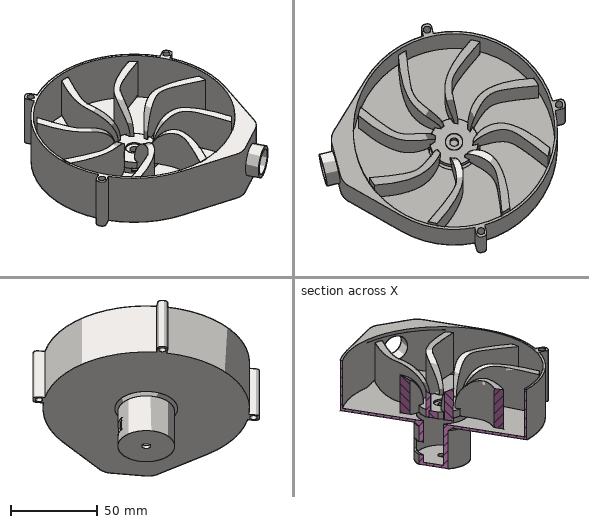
import cadquery as cq
import math


casing_radius = 60.0
casing_height = 32.0
opening_diameter = 117.0
floor_thickness = 2.0
top_plate_thickness = 2.0
corner_bevel_leg = 20.0
corner_wall = 5.0
bevel_wall = 2.0
outer_corner_radius = 10.0
inner_corner_radius = 4.0

outlet_angle = 45.0
outlet_outer_diameter = 19.0
outlet_bore_diameter = 15.0
outlet_axis_height = 16.5
outlet_reach = 78.4

lug_angles = (135.0, 225.0, 315.0)
lug_hole_distance = 62.9
lug_hole_diameter = 4.2
lug_width = 6.0
lug_end_margin = 3.5
lug_corner_radius = 2.5

cup_outer_diameter = 33.0
cup_inner_diameter = 30.0
cup_depth = 26.0
cup_base_thickness = 2.0
flare_height = 2.0
flare_width = 1.7
shaft_hole_diameter = 5.0
window_angle = 135.0
window_width = 12.0
window_top = -11.6
window_height = 8.0

hub_diameter = 28.0
hub_bottom = 4.5
hub_height = 4.5
hub_recess_diameter = 10.0
hub_recess_depth = 1.0

blade_count = 8
blade_height = 24.9
blade_inner_radius = 11.0
blade_outer_radius = 56.5
blade_shoulder_radius = 19.5
hollow_side = [(8.5, -4.9), (14.7, -4.9), (22.0, -4.9), (30.8, -7.0), (37.3, -12.8), (44.0, -21.3), (50.1, -29.6)]
round_side = [(8.5, -3.9), (20.6, -0.6), (30.2, -2.6), (36.7, -6.6), (45.6, -15.5), (53.3, -26.0)]

cavity_height = casing_height - floor_thickness - top_plate_thickness
bevel_distance = math.sqrt(2) * (casing_radius - corner_bevel_leg / 2)
hub_top = hub_bottom + hub_height
blade_top = hub_bottom + blade_height


def cylinder(diameter, bottom, height):
    return cq.Workplane("XY", origin=(0, 0, bottom)).circle(diameter / 2).extrude(height)


def bevelled_corner(side, bevel, fillet_radius, bottom, height):
    """Square from the axis to X = Y = side, its far corner cut off at a distance from the axis."""
    bevel_start = math.sqrt(2) * bevel - side
    return (
        cq.Workplane("XY", origin=(0, 0, bottom))
        .moveTo(0, 0)
        .lineTo(side, 0)
        .lineTo(side, bevel_start)
        .lineTo(bevel_start, side)
        .lineTo(0, side)
        .close()
        .extrude(height)
        .edges("|Z and >(1, 1, 0)")
        .fillet(fillet_radius)
    )


def lug(angle):
    outer_end = lug_hole_distance + lug_end_margin
    inner_end = opening_diameter / 2
    length = outer_end - inner_end
    return (
        cq.Workplane("XY")
        .box(length, lug_width, casing_height, centered=(False, True, False))
        .edges("|Z and >X")
        .fillet(lug_corner_radius)
        .translate((inner_end, 0, 0))
        .rotate((0, 0, 0), (0, 0, 1), angle)
    )


def lug_hole(angle):
    return (
        cylinder(lug_hole_diameter, 0, casing_height)
        .translate((lug_hole_distance, 0, 0))
        .rotate((0, 0, 0), (0, 0, 1), angle)
    )


def outlet_cylinder(diameter):
    """Cylinder lying along the outlet axis, from inside the corner to the mouth of the pipe."""
    start = bevel_distance - 2 * bevel_wall
    return (
        cq.Workplane("YZ", origin=(start, 0, outlet_axis_height))
        .circle(diameter / 2)
        .extrude(outlet_reach - start)
        .rotate((0, 0, 0), (0, 0, 1), outlet_angle)
    )


def motor_cup():
    """Solid outside of the cup, with the flare that joins it to the casing."""
    radius = cup_outer_diameter / 2
    return (
        cq.Workplane("XZ")
        .moveTo(0, -cup_depth)
        .lineTo(radius, -cup_depth)
        .lineTo(radius, -flare_height)
        .lineTo(radius + flare_width, 0)
        .lineTo(radius + flare_width, floor_thickness)
        .lineTo(0, floor_thickness)
        .close()
        .revolve(360, (0, 0, 0), (0, 1, 0))
    )


def cup_window():
    return (
        cq.Workplane("XY", origin=(0, 0, window_top - window_height))
        .box(cup_outer_diameter, window_width, window_height, centered=(False, True, False))
        .rotate((0, 0, 0), (0, 0, 1), window_angle)
    )


def make_housing():
    body = cylinder(2 * casing_radius, 0, casing_height)
    body = body.union(
        bevelled_corner(casing_radius, bevel_distance, outer_corner_radius, 0, casing_height)
    )
    for angle in lug_angles:
        body = body.union(lug(angle))
    body = body.union(outlet_cylinder(outlet_outer_diameter))
    body = body.union(motor_cup())

    body = body.cut(cylinder(opening_diameter, floor_thickness, casing_height))
    body = body.cut(
        bevelled_corner(
            casing_radius - corner_wall,
            bevel_distance - bevel_wall,
            inner_corner_radius,
            floor_thickness,
            cavity_height,
        )
    )
    body = body.cut(outlet_cylinder(outlet_bore_diameter))
    for angle in lug_angles:
        body = body.cut(lug_hole(angle))

    pocket_bottom = cup_base_thickness - cup_depth
    body = body.cut(cylinder(cup_inner_diameter, pocket_bottom, floor_thickness - pocket_bottom))
    body = body.cut(cylinder(shaft_hole_diameter, -cup_depth, cup_depth))
    return body.cut(cup_window())


def make_hub():
    hub = cylinder(hub_diameter, hub_bottom, hub_height)
    hub = hub.cut(cylinder(shaft_hole_diameter, hub_bottom, hub_height))
    return hub.cut(cylinder(hub_recess_diameter, hub_top - hub_recess_depth, hub_recess_depth))


def blade_plan():
    """Swept blade outline, longer at both ends than the finished blade."""
    return (
        cq.Workplane("XY", origin=(0, 0, hub_bottom))
        .moveTo(*hollow_side[0])
        .spline(hollow_side[1:], includeCurrent=True)
        .lineTo(*round_side[-1])
        .spline(round_side[-2::-1], includeCurrent=True)
        .close()
        .extrude(blade_height)
    )


def blade_envelope():
    """Ring swept by the blades, with the quarter-round shoulder that falls towards the hub."""
    shoulder_bottom = blade_top - blade_shoulder_radius
    shoulder_end = blade_inner_radius + blade_shoulder_radius
    half_way = blade_shoulder_radius * math.sqrt(0.5)
    return (
        cq.Workplane("XZ")
        .moveTo(blade_inner_radius, hub_bottom)
        .lineTo(blade_outer_radius, hub_bottom)
        .lineTo(blade_outer_radius, blade_top)
        .lineTo(shoulder_end, blade_top)
        .threePointArc(
            (shoulder_end - half_way, shoulder_bottom + half_way),
            (blade_inner_radius, shoulder_bottom),
        )
        .close()
        .revolve(360, (0, 0, 0), (0, 1, 0))
    )


def make_blades():
    """Equal blades around the hub, each notched at its root to sit over the hub's rim."""
    blade = blade_plan().intersect(blade_envelope())
    blade = blade.cut(cylinder(hub_diameter, hub_bottom, hub_height))
    step = 360 / blade_count
    return [blade.rotate((0, 0, 0), (0, 0, 1), i * step).val() for i in range(blade_count)]


housing = make_housing()
hub = make_hub()
blades = make_blades()

result = cq.Compound.makeCompound([housing.val(), hub.val()] + blades)